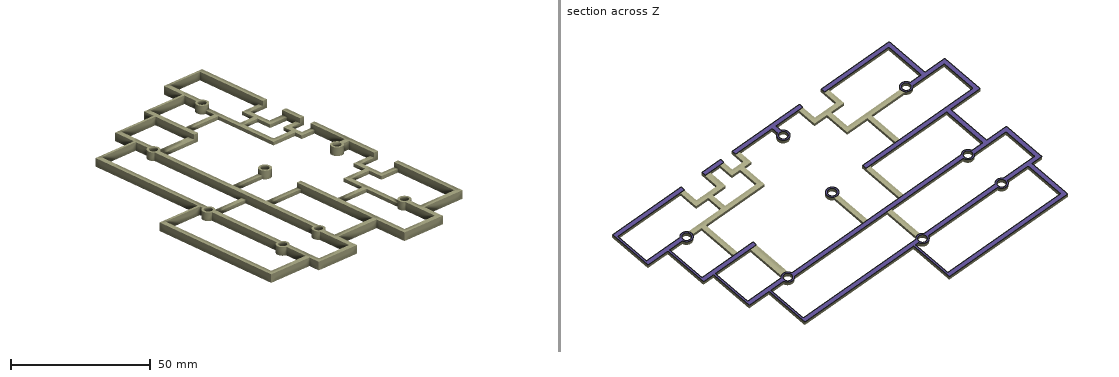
import cadquery as cq

LENGTH = 142.9
COLUMNS = 7.5
ROWS = 5
PITCH = LENGTH / COLUMNS

RAIL_HEIGHT = 3.5
RIB_HEIGHT = 1.5
WALL = 2.0
THIN_WALL = WALL / 2
WIDE_WALL = 3.0

BOSS_DIAMETER = 5.0
BOSS_HOLE = 3.3
BOSS_SHIFT = 0.6
BACK_BOSS_DEPTH = 6.9

DEEP_NOTCH = 8.3
SHALLOW_NOTCH = 6.3
NOTCHES = [
    (33.1, 43.0, DEEP_NOTCH, 2.5),
    (52.2, 57.6, SHALLOW_NOTCH, WALL),
    (90.2, 100.5, DEEP_NOTCH, WALL),
]

MAIN_RAIL_SHIFT = 1.1
INNER_LEFT_END = 35.1
INNER_RIGHT_END = 87.7
LEFT_RIB_END = 56.2
RIGHT_RIB_START = 94.2
NOTCH_RIB_X = 37.0
LEFT_CROSS_RIB_X = 25.9
RIGHT_CROSS_RIB_X = 103.9


def col(n):
    """X of grid line n, counted from the left edge."""
    return n * PITCH


def row(n):
    """Y of grid line n, counted from the back edge."""
    return (ROWS - n) * PITCH


BACK = row(0)


def bar(x0, x1, y0, y1, height):
    return cq.Workplane("XY").box(x1 - x0, y1 - y0, height, centered=False).translate((x0, y0, 0))


def back_rails():
    """Tall rail along the back edge, interrupted by the notches."""
    starts = [0] + [notch[1] for notch in NOTCHES]
    ends = [notch[0] for notch in NOTCHES] + [col(7)]
    return [bar(x0, x1, BACK - WALL, BACK, RAIL_HEIGHT) for x0, x1 in zip(starts, ends)]


def inner_rails():
    """Other tall rails along X, each given by its ends and the Y of its back face."""
    spans = [
        (0, col(1), row(1) + WALL),
        (col(6.5), col(7.5), row(1)),
        (col(0.5), INNER_LEFT_END, row(2) + WALL),
        (INNER_RIGHT_END, col(7.5), row(2) + WALL),
        (col(0.75), col(1.75), row(3) + WALL),
        (col(1.75), col(6.25), row(3) + MAIN_RAIL_SHIFT),
        (col(6.25), col(7.25), row(3)),
        (col(1.25), col(7.25), row(4) + WALL),
        (col(4), col(7), row(5) + WALL),
    ]
    return [bar(x0, x1, back - WALL, back, RAIL_HEIGHT) for x0, x1, back in spans]


def side_rails():
    """Tall rails along Y that close the left and right ends of each row."""
    left_columns = [0, 0.5, 0.75, 1.25, 4]
    right_columns = [7, 7.5, 6.75, 7.25, 7]
    rails = []
    for n, (left, right) in enumerate(zip(left_columns, right_columns)):
        rails.append(bar(col(left), col(left) + THIN_WALL, row(n + 1), row(n), RAIL_HEIGHT))
        rails.append(bar(col(right) - WALL, col(right), row(n + 1), row(n), RAIL_HEIGHT))
    return rails


def notch_rib(x0, x1, depth, right_wall):
    """Low U-shaped rib around a notch in the back edge."""
    floor = BACK - depth
    outline = bar(x0 - WALL, x1 + right_wall, floor - WALL, BACK, RIB_HEIGHT)
    return outline.cut(bar(x0, x1, floor, BACK, RIB_HEIGHT))


def rib_along_y(left, front, back, width=WALL):
    return bar(left, left + width, front, back, RIB_HEIGHT)


def low_ribs():
    below_deep_notch = BACK - DEEP_NOTCH
    below_shallow_notch = BACK - SHALLOW_NOTCH
    return [notch_rib(*notch) for notch in NOTCHES] + [
        bar(col(1), LEFT_RIB_END, row(1), row(1) + WALL, RIB_HEIGHT),
        bar(RIGHT_RIB_START, col(6.5), row(1) - WALL, row(1), RIB_HEIGHT),
        rib_along_y(NOTCH_RIB_X, row(1), below_deep_notch),
        rib_along_y(LEFT_RIB_END - WALL, row(1), below_shallow_notch),
        rib_along_y(RIGHT_RIB_START, row(1) - WALL, below_deep_notch),
        rib_along_y(LEFT_CROSS_RIB_X, row(2), row(1) + WALL),
        rib_along_y(RIGHT_CROSS_RIB_X, row(2), row(1)),
        rib_along_y(INNER_LEFT_END - WIDE_WALL, row(3), row(2) + WALL, WIDE_WALL),
        rib_along_y(INNER_RIGHT_END, row(3), row(2) + WALL),
        rib_along_y(col(3.75) - WALL / 2, row(3), row(2)),
        rib_along_y(col(4.25) - WALL / 2, row(4), row(3)),
    ]


BACK_BOSS_Y = BACK - BACK_BOSS_DEPTH
BOSS_CENTRES = [
    (col(1), row(1) + BOSS_SHIFT),
    (col(4), BACK_BOSS_Y),
    (col(6.5), row(1) - BOSS_SHIFT),
    (col(3.75), row(2)),
    (col(1.75), row(3) + BOSS_SHIFT),
    (col(6.25), row(3) - BOSS_SHIFT),
    (col(4.25), row(4) + BOSS_SHIFT),
    (col(6.25), row(4) + BOSS_SHIFT),
]


def boss_cylinders(diameter):
    return cq.Workplane("XY").pushPoints(BOSS_CENTRES).circle(diameter / 2).extrude(RAIL_HEIGHT)


result = bar(col(4) - WALL / 2, col(4) + WALL / 2, BACK_BOSS_Y, BACK, RAIL_HEIGHT)
for piece in back_rails() + inner_rails() + side_rails() + low_ribs():
    result = result.union(piece)
result = result.union(boss_cylinders(BOSS_DIAMETER)).cut(boss_cylinders(BOSS_HOLE)).clean()